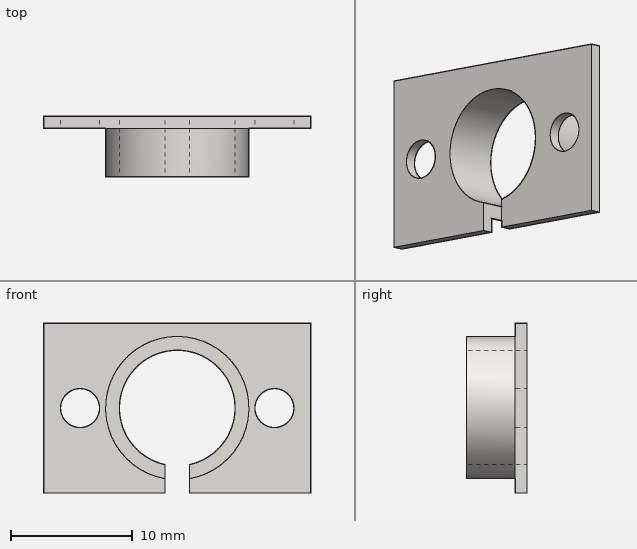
import cadquery as cq

plate_width = 22.0
plate_height = 14.0
plate_thickness = 1.0

overall_depth = 5.0
ring_outer_diameter = 11.8
bore_diameter = 9.5
slot_width = 2.0

hole_diameter = 3.2
hole_spacing = 16.0


def cylinder_from_back(diameter, length, x=0):
    """Cylinder along Y, from the back face of the plate towards -Y."""
    return cq.Workplane("XZ").center(x, 0).circle(diameter / 2).extrude(length)


plate = cq.Workplane("XZ").rect(plate_width, plate_height).extrude(plate_thickness)
ring = cylinder_from_back(ring_outer_diameter, overall_depth)
result = plate.union(ring)

result = result.cut(cylinder_from_back(bore_diameter, overall_depth))

for side in (-1, 1):
    result = result.cut(cylinder_from_back(hole_diameter, plate_thickness, side * hole_spacing / 2))

slot_height = plate_height / 2
slot = (
    cq.Workplane("XZ")
    .center(0, -slot_height / 2)
    .rect(slot_width, slot_height)
    .extrude(overall_depth)
)
result = result.cut(slot)